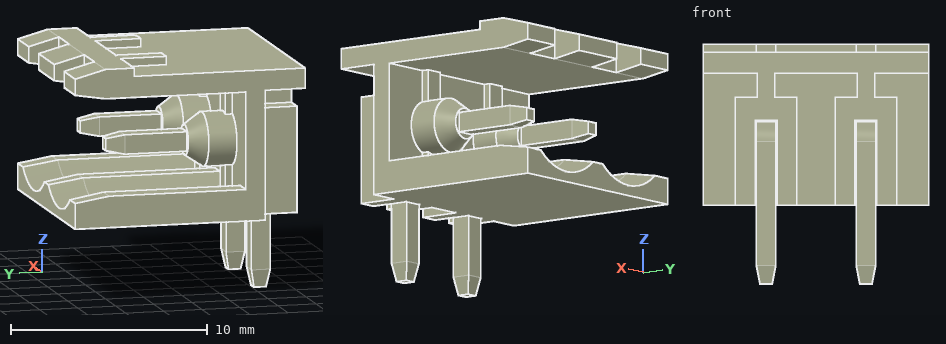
import cadquery as cq
import math


width = 11.48
depth = 12.1
overall_height = 12.2
pole_pitch = 5.08
pole_positions = (-pole_pitch / 2, pole_pitch / 2)

wall_rear = 2.12
wall_front = 3.12

floor_top = 1.63
floor_tip_top = 1.34
floor_bevel_start = 10.31

plate_top = 7.77
plate_bottom = 6.67
rear_plate_bottom = 6.72
plate_tip_bottom = 6.93
plate_bevel_start = 10.52
notch_width = 1.98

ridge_top = 8.2
ridge_rear = 8.99
tongue_rear = 6.6
tongue_width = 1.0

support_width = 3.12
support_top = 5.5
neck_width = 0.9
slot_width = 1.11
slot_top = 4.33

pin_size = 1.0
pin_axis_z = 3.75
pin_bottom = ridge_top - overall_height
pin_top = pin_axis_z + pin_size / 2
pin_underside = pin_axis_z - pin_size / 2
pin_front = 9.74
tip_length = 0.95
tip_size = 0.63

collar_diameter = 2.8
collar_end_diameter = 1.57
collar_cone_start = 4.6
collar_front = 5.51
rib_width = 1.0
rib_front = 3.5

trough_radius = 2.93
trough_mouth_radius = trough_radius + (floor_top - floor_tip_top)


def box(x_center, x_size, y_range, z_range):
    """Block centred on x_center between two Y and two Z limits."""
    y_min, y_max = y_range
    z_min, z_max = z_range
    return (
        cq.Workplane("XY")
        .box(x_size, y_max - y_min, z_max - z_min, centered=(True, False, False))
        .translate((x_center, y_min, z_min))
    )


def extrude_across_housing(points):
    """Closed outline of (Y, Z) points, extruded along X over the full width."""
    return cq.Workplane("YZ").polyline(points).close().extrude(width / 2, both=True)


def revolve_about_pin(points, x):
    """Closed outline of (radius, Y) points, revolved about the axis of the pin at x."""
    profile = cq.Workplane("XY").polyline(points).close()
    return profile.revolve(360, (0, 0, 0), (0, 1, 0)).translate((x, 0, pin_axis_z))


def make_pin_window(x):
    """Clearance for the pin through the wall, in line with the support slot."""
    return box(x, slot_width, (wall_rear, wall_front), (pin_underside, slot_top))


def make_floor_and_wall():
    base = extrude_across_housing(
        [
            (wall_rear, 0),
            (depth, 0),
            (depth, floor_tip_top),
            (floor_bevel_start, floor_top),
            (wall_front, floor_top),
            (wall_front, plate_top),
            (wall_rear, plate_top),
        ]
    )
    for x in pole_positions:
        trough = revolve_about_pin(
            [
                (0, wall_front),
                (trough_radius, wall_front),
                (trough_radius, floor_bevel_start),
                (trough_mouth_radius, depth),
                (0, depth),
            ],
            x,
        )
        floor_space = box(x, width, (wall_front, depth), (0, floor_top))
        base = base.cut(trough.intersect(floor_space)).cut(make_pin_window(x))
    return base


def make_top_plate():
    plate = extrude_across_housing(
        [
            (0, rear_plate_bottom),
            (wall_rear, rear_plate_bottom),
            (wall_rear, plate_bottom),
            (plate_bevel_start, plate_bottom),
            (depth, plate_tip_bottom),
            (depth, plate_top),
            (plate_bevel_start, ridge_top),
            (ridge_rear, ridge_top),
            (ridge_rear, plate_top),
            (0, plate_top),
        ]
    )
    for x in pole_positions:
        tongue = box(x, tongue_width, (tongue_rear, ridge_rear), (plate_bottom, ridge_top))
        notch = box(x, notch_width, (plate_bevel_start, depth), (plate_bottom, ridge_top))
        plate = plate.union(tongue).cut(notch)
    return plate


def make_rear_support(x):
    block = box(x, support_width, (0, wall_rear), (0, support_top))
    neck = box(x, neck_width, (0, wall_rear), (support_top, rear_plate_bottom))
    slot = box(x, slot_width, (0, wall_rear), (0, slot_top))
    return block.union(neck).cut(slot)


def make_collar(x):
    collar = revolve_about_pin(
        [
            (0, wall_front),
            (collar_diameter / 2, wall_front),
            (collar_diameter / 2, collar_cone_start),
            (collar_end_diameter / 2, collar_front),
            (0, collar_front),
        ],
        x,
    )
    rib_bottom = pin_axis_z - trough_mouth_radius
    rib = box(x, rib_width, (wall_front, rib_front), (rib_bottom, plate_bottom))
    return collar.union(rib)


def make_pin_tip():
    """Tapered pin end, starting at the origin and pointing along +Z."""
    return (
        cq.Workplane("XY")
        .rect(pin_size, pin_size)
        .workplane(offset=tip_length)
        .rect(tip_size, tip_size)
        .loft(ruled=True)
    )


def make_pin(x):
    leg_rear = wall_rear - pin_size
    leg_end = pin_bottom + tip_length
    arm_end = pin_front - tip_length

    bend_middle = pin_size * math.sqrt(0.5)
    shank = (
        cq.Workplane("YZ")
        .moveTo(leg_rear, leg_end)
        .lineTo(leg_rear, pin_underside)
        .threePointArc(
            (wall_rear - bend_middle, pin_underside + bend_middle),
            (wall_rear, pin_top),
        )
        .lineTo(arm_end, pin_top)
        .lineTo(arm_end, pin_underside)
        .lineTo(wall_rear, pin_underside)
        .lineTo(wall_rear, leg_end)
        .close()
        .extrude(pin_size / 2, both=True)
        .translate((x, 0, 0))
    )
    leg_tip = make_pin_tip().rotate((0, 0, 0), (1, 0, 0), 180)
    leg_tip = leg_tip.translate((x, wall_rear - pin_size / 2, leg_end))
    arm_tip = make_pin_tip().rotate((0, 0, 0), (1, 0, 0), -90)
    arm_tip = arm_tip.translate((x, arm_end, pin_axis_z))
    return shank.union(leg_tip).union(arm_tip)


result = make_floor_and_wall().union(make_top_plate())
for pole_x in pole_positions:
    result = result.union(make_rear_support(pole_x))
    result = result.union(make_collar(pole_x))
    result = result.union(make_pin(pole_x))